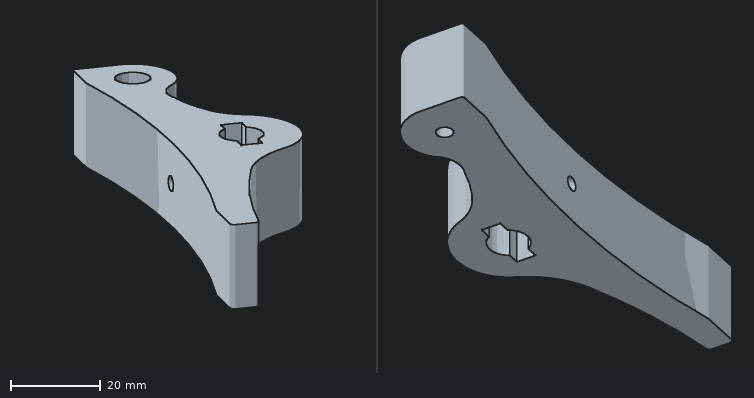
import cadquery as cq
import math

length = 115.0
thickness = 20.0

lobe_radius = 10.0
lobe_x = lobe_radius
lobe_y = 11.0
wall_inset = 0.03
lobe_hole_diameter = 4.0
counterbore_diameter = 8.0
counterbore_depth = 3.0

boss_x = 54.9
boss_y = 22.1
boss_radius = 13.8
bore_diameter = 10.0
slot_length = 15.0
slot_width = 5.0

pin_diameter = 3.5

left_flat = 10.0
right_flat = 10.7
concave_height = 5.4

lobe_end_angle = 40.0
boss_left_angle = 161.5
boss_right_angle = 28.0

valley_bottom = (22.3, 15.1)
valley_end = (26.1, 15.8)
left_back_middle = (32.0, 17.8)
left_back_end = (37.1, 20.7)
left_blend_middle = (40.2, 23.8)
right_blend_middle = (71.6, 21.7)
right_blend_end = (79.0, 16.5)
right_back_middle = (95.6, 10.7)
tip_height = 6.7

left_corner_radius = 0.7
tip_corner_radius = 1.2


def point_on_circle(x, y, radius, degrees):
    angle = math.radians(degrees)
    return (x + radius * math.cos(angle), y + radius * math.sin(angle))


def lever_body():
    lobe_end = point_on_circle(lobe_x, lobe_y, lobe_radius, lobe_end_angle)
    boss_left = point_on_circle(boss_x, boss_y, boss_radius, boss_left_angle)
    boss_right = point_on_circle(boss_x, boss_y, boss_radius, boss_right_angle)
    wall_top = lobe_y - math.sqrt(lobe_radius**2 - (lobe_x - wall_inset) ** 2)
    concave_right = length - right_flat
    concave_middle = ((left_flat + concave_right) / 2, concave_height)
    body = (
        cq.Workplane("XY")
        .moveTo(wall_inset, 0)
        .lineTo(wall_inset, wall_top)
        .threePointArc((lobe_x, lobe_y + lobe_radius), lobe_end)
        .threePointArc(valley_bottom, valley_end)
        .threePointArc(left_back_middle, left_back_end)
        .threePointArc(left_blend_middle, boss_left)
        .threePointArc((boss_x, boss_y + boss_radius), boss_right)
        .threePointArc(right_blend_middle, right_blend_end)
        .threePointArc(right_back_middle, (length, tip_height))
        .lineTo(length, 0)
        .lineTo(concave_right, 0)
        .threePointArc(concave_middle, (left_flat, 0))
        .close()
        .extrude(thickness)
    )
    left_corner = cq.selectors.NearestToPointSelector((wall_inset, 0, thickness / 2))
    body = body.edges(left_corner).fillet(left_corner_radius)
    return body.faces(">X").edges("|Z").fillet(tip_corner_radius)


def pivot_opening():
    centre = cq.Workplane("XY").center(boss_x, boss_y)
    bore = centre.circle(bore_diameter / 2).extrude(thickness)
    slot = centre.rect(slot_length, slot_width).extrude(thickness)
    return bore.union(slot)


def lobe_hole():
    centre = cq.Workplane("XY").center(lobe_x, lobe_y)
    hole = centre.circle(lobe_hole_diameter / 2).extrude(thickness)
    counterbore = (
        centre.workplane(offset=thickness - counterbore_depth)
        .circle(counterbore_diameter / 2)
        .extrude(counterbore_depth)
    )
    return hole.union(counterbore)


def pin_hole():
    return (
        cq.Workplane("XZ")
        .center(boss_x, thickness / 2)
        .circle(pin_diameter / 2)
        .extrude(-boss_y)
    )


result = lever_body().cut(pivot_opening()).cut(lobe_hole()).cut(pin_hole())